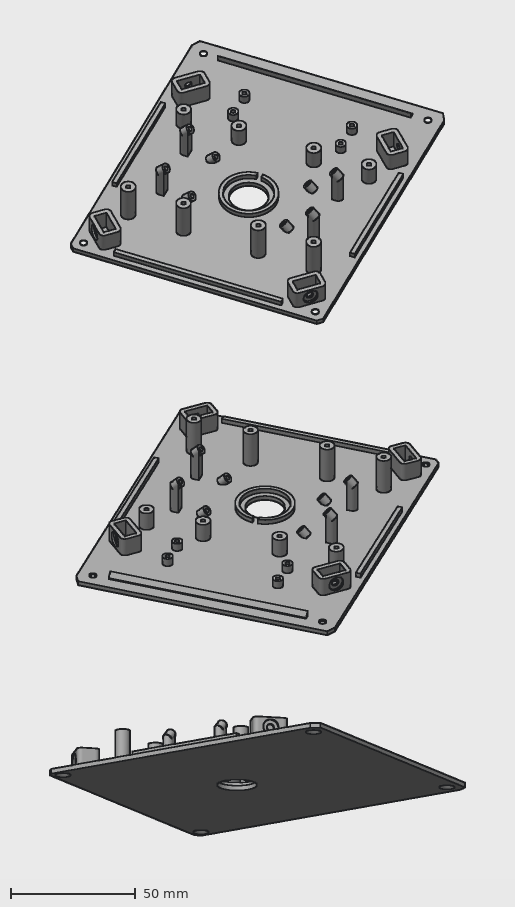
import cadquery as cq
import math

PLATE_X = 110.0
PLATE_Y = 129.61
PLATE_T = 2.0
FRONT_CORNER = 2.0
REAR_CORNER_X = 2.0
REAR_CORNER_Y = 3.5
TOTAL_HEIGHT = 17.46

FIXING_DIA = 2.9
FIXING_SINK_DIA = 6.2
FIXING_SINK_ANGLE = 90.0
FIXING_REAR = (48.9, 58.8)
FIXING_FRONT = (50.5, -60.2)

OPENING_DIA = 16.0
OPENING_Y = -9.8
COLLAR_OD = 24.0
COLLAR_ID = 20.6
COLLAR_H = 2.0
COLLAR_GAP = 2.2

RIB_W = 2.0
RIB_H = 2.0
SIDE_RIB_LENGTH = 50.0
SIDE_RIB_X = 51.85
SIDE_RIB_Y = -0.5
FRONT_RIB_LENGTH = 73.0
FRONT_RIB_Y = -61.4
REAR_RIB_LENGTH = 84.0
REAR_RIB_OUTER_Y = 59.3
REAR_RIB_OUTER_H = 0.5
REAR_RIB_INNER_H = 2.5

PILOT_DIA = 1.8
STANDOFF_DIA = 6.0
STANDOFF_X = (16.3, 40.4)
REAR_STANDOFF_Y = 18.5
REAR_STANDOFF_TOP = 10.0
FRONT_STANDOFF_Y = -38.2
PIN_DIA = 4.2
PIN_X = 23.45
PIN_Y = (29.4, 40.8)
PIN_TOP = 5.5

BOX_POCKET_L = 10.0
BOX_POCKET_W = 5.2
BOX_WALL = 2.0
BOX_TOP = 10.0
BOX_X = 43.9
BOX_REAR_Y = 34.1
BOX_FRONT_Y = -53.7
SCREW_DIA = 2.9
SCREW_HEAD_DIA = 6.2
SCREW_HEAD_DEPTH = 1.0

SLEEVE_DIA = 4.0
SLEEVE_LENGTH = 4.0
SLEEVE_Y = (3.65, -20.95)
SLEEVE_BORE_DEPTH = 3.0
TILT = 45.0
HIGH_SLEEVE_TIP = (32.6, 17.3)
LOW_SLEEVE_TIP = (21.3, 6.0)

SIDES = (-1, 1)


def make_plate():
    half_x = PLATE_X / 2
    half_y = PLATE_Y / 2
    right_side = [
        (half_x - FRONT_CORNER, -half_y),
        (half_x, -half_y + FRONT_CORNER),
        (half_x, half_y - REAR_CORNER_Y),
        (half_x - REAR_CORNER_X, half_y),
    ]
    left_side = [(-x, y) for x, y in reversed(right_side)]
    plate = cq.Workplane("XY").polyline(right_side + left_side).close().extrude(PLATE_T)
    fixings = [(side * x, y) for side in SIDES for x, y in (FIXING_REAR, FIXING_FRONT)]
    underside = plate.faces("<Z").workplane(centerOption="ProjectedOrigin", origin=(0, 0, 0))
    plate = underside.pushPoints([(x, -y) for x, y in fixings]).cskHole(
        FIXING_DIA, FIXING_SINK_DIA, FIXING_SINK_ANGLE
    )
    return plate.cut(cq.Workplane("XY").center(0, OPENING_Y).circle(OPENING_DIA / 2).extrude(PLATE_T))


def make_collar():
    floor = cq.Workplane("XY", origin=(0, OPENING_Y, PLATE_T))
    ring = floor.circle(COLLAR_OD / 2).circle(COLLAR_ID / 2).extrude(COLLAR_H)
    gap = floor.center(0, COLLAR_OD / 4).rect(COLLAR_GAP, COLLAR_OD / 2).extrude(COLLAR_H)
    return ring.cut(gap)


def make_ribs():
    floor = cq.Workplane("XY", origin=(0, 0, PLATE_T))
    side_centres = [(side * SIDE_RIB_X, SIDE_RIB_Y) for side in SIDES]
    ribs = floor.pushPoints(side_centres).rect(RIB_W, SIDE_RIB_LENGTH).extrude(RIB_H)
    ribs = ribs.union(floor.center(0, FRONT_RIB_Y).rect(FRONT_RIB_LENGTH, RIB_W).extrude(RIB_H))
    inner_y = REAR_RIB_OUTER_Y - RIB_W
    section = [
        (REAR_RIB_OUTER_Y, PLATE_T),
        (REAR_RIB_OUTER_Y, PLATE_T + REAR_RIB_OUTER_H),
        (inner_y, PLATE_T + REAR_RIB_INNER_H),
        (inner_y, PLATE_T),
    ]
    rear = cq.Workplane("YZ").polyline(section).close().extrude(REAR_RIB_LENGTH / 2, both=True)
    return ribs.union(rear)


def make_bored_posts(centres, diameter, top):
    """Round posts standing on the plate, each with a pilot hole down to the plate."""
    floor = cq.Workplane("XY", origin=(0, 0, PLATE_T)).pushPoints(centres)
    posts = floor.circle(diameter / 2).extrude(top - PLATE_T)
    return posts.cut(floor.circle(PILOT_DIA / 2).extrude(top - PLATE_T))


def make_screw_box(x, y, outward_angle):
    """Open-topped box whose outer long wall has a counterbored screw hole."""
    height = BOX_TOP - PLATE_T
    outer_l = BOX_POCKET_L + 2 * BOX_WALL
    outer_w = BOX_POCKET_W + 2 * BOX_WALL
    box = cq.Workplane("XY").rect(outer_w, outer_l).extrude(height)
    box = box.edges("|Z").fillet(BOX_WALL)
    box = box.cut(cq.Workplane("XY").rect(BOX_POCKET_W, BOX_POCKET_L).extrude(height))
    outer_face = cq.Workplane("YZ", origin=(outer_w / 2, 0, height / 2))
    box = box.cut(outer_face.circle(SCREW_DIA / 2).extrude(-BOX_WALL))
    box = box.cut(outer_face.circle(SCREW_HEAD_DIA / 2).extrude(-SCREW_HEAD_DEPTH))
    return box.rotate((0, 0, 0), (0, 0, 1), outward_angle).translate((x, y, PLATE_T))


def sleeve_frame(side, y, tip):
    """Plane on the sleeve's upper end face, with its normal up and towards the centre line."""
    tilt = math.radians(TILT)
    normal = (-side * math.sin(tilt), 0, math.cos(tilt))
    radius = SLEEVE_DIA / 2
    tip_x, tip_z = tip
    centre_x = side * (tip_x - radius * math.cos(tilt))
    centre_z = tip_z - radius * math.sin(tilt)
    return cq.Plane(origin=(centre_x, y, centre_z), xDir=(0, 1, 0), normal=normal)


def make_tilted_rod(side, y, tip, diameter, length):
    """Rod running down the sleeve's axis from its upper end face."""
    return cq.Workplane(sleeve_frame(side, y, tip)).circle(diameter / 2).extrude(-length)


def make_sleeve_post(side, y):
    """Upright post under a high sleeve, as wide as the sleeve and rounded on its outer side."""
    tilt = math.radians(TILT)
    radius = SLEEVE_DIA / 2
    tip_x, tip_z = HIGH_SLEEVE_TIP
    outer_x = tip_x + SLEEVE_LENGTH * math.sin(tilt)
    outer_z = tip_z - SLEEVE_LENGTH * math.cos(tilt)
    inner_x = outer_x - SLEEVE_DIA
    axis_x = outer_x - radius * math.cos(tilt)
    axis_z = outer_z - radius * math.sin(tilt)
    inner_z = axis_z + (axis_x - inner_x) / math.tan(tilt)
    profile = [
        (inner_x, PLATE_T),
        (outer_x, PLATE_T),
        (outer_x, outer_z),
        (axis_x, axis_z),
        (inner_x, inner_z),
    ]
    post = cq.Workplane("XZ").polyline(profile).close().extrude(radius, both=True)
    footprint = (
        cq.Workplane("XY", origin=(0, 0, PLATE_T))
        .moveTo(inner_x, -radius)
        .lineTo(outer_x - radius, -radius)
        .threePointArc((outer_x, 0), (outer_x - radius, radius))
        .lineTo(inner_x, radius)
        .close()
        .extrude(TOTAL_HEIGHT - PLATE_T)
    )
    post = post.intersect(footprint)
    if side < 0:
        post = post.mirror("YZ")
    return post.translate((0, y, 0))


def build():
    part = make_plate().union(make_collar()).union(make_ribs())
    rear_standoffs = [(side * x, REAR_STANDOFF_Y) for side in SIDES for x in STANDOFF_X]
    front_standoffs = [(side * x, FRONT_STANDOFF_Y) for side in SIDES for x in STANDOFF_X]
    pins = [(side * PIN_X, y) for side in SIDES for y in PIN_Y]
    part = part.union(make_bored_posts(rear_standoffs, STANDOFF_DIA, REAR_STANDOFF_TOP))
    part = part.union(make_bored_posts(front_standoffs, STANDOFF_DIA, TOTAL_HEIGHT))
    part = part.union(make_bored_posts(pins, PIN_DIA, PIN_TOP))
    screw_boxes = [
        (BOX_X, BOX_REAR_Y, 45),
        (-BOX_X, BOX_REAR_Y, 135),
        (-BOX_X, BOX_FRONT_Y, 225),
        (BOX_X, BOX_FRONT_Y, 315),
    ]
    for x, y, outward_angle in screw_boxes:
        part = part.union(make_screw_box(x, y, outward_angle))
    for side in SIDES:
        for y in SLEEVE_Y:
            part = part.union(make_sleeve_post(side, y))
            for tip in (HIGH_SLEEVE_TIP, LOW_SLEEVE_TIP):
                part = part.union(make_tilted_rod(side, y, tip, SLEEVE_DIA, SLEEVE_LENGTH))
                part = part.cut(make_tilted_rod(side, y, tip, PILOT_DIA, SLEEVE_BORE_DEPTH))
    return part


result = build()